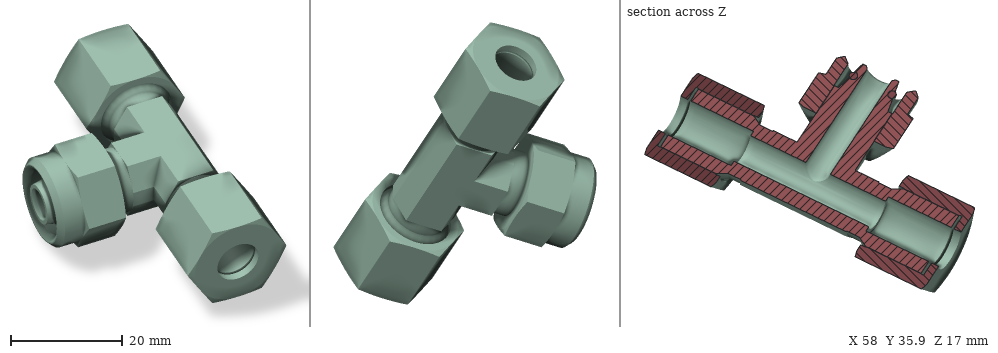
import cadquery as cq
import math


run_reach = 29.0
branch_reach = 26.1

nut_flats = 17.0
nut_face_radius = nut_flats / 2
nut_corner_radius = nut_face_radius / math.cos(math.pi / 6)
hex_chamfer_angle = 15.0
hex_chamfer = (nut_corner_radius - nut_face_radius) * math.tan(math.radians(hex_chamfer_angle))

bar_half_width = 6.05
bar_corner_radius = bar_half_width / math.cos(math.pi / 6)
run_bar_reach = 10.95
branch_bar_reach = 10.1

neck_radius = 5.85
neck_end = 13.5
flare_angle = 30.0
nut_length = 14.5
nut_back = run_reach - nut_length
stem_radius = 7.0
flare_end = neck_end + (stem_radius - neck_radius) / math.tan(math.radians(flare_angle))
lip_length = 1.5
stem_gap = 0.5
cavity_end = run_reach - lip_length
stem_end = cavity_end - stem_gap
tube_radius = 4.05
tube_stop = 14.0
run_bore_radius = 3.0

branch_neck_radius = bar_half_width
shoulder_reach = 19.65
cone_nose_radius = 3.75
cone_half_angle = 12.0
cone_length = branch_reach - shoulder_reach
cone_base_radius = cone_nose_radius + cone_length * math.tan(math.radians(cone_half_angle))
branch_bore_radius = 2.5
branch_bore_chamfer = 0.5

ring_section_radius = 0.75
ring_outer_radius = 4.8
ring_centre_radius = ring_outer_radius - ring_section_radius
ring_reach = 23.1

swivel_back = 12.95
swivel_hex_end = 20.95
swivel_end = 25.85
swivel_tip_chamfer = 1.05
lead_in_radius = 7.25
lead_in_depth = 1.05

run_outlets = [
    cq.Location(cq.Plane(origin=(0, 0, 0), xDir=(0, 1, 0), normal=(side, 0, 0)))
    for side in (-1, 1)
]
branch_outlet = cq.Location(cq.Plane(origin=(0, 0, 0), xDir=(1, 0, 0), normal=(0, -1, 0)))


def turned(profile):
    """Solid of revolution about Z from (radius, height) points."""
    return cq.Workplane("XZ").polyline(profile).close().revolve(360, (0, 0), (0, 1))


def cylinder(radius, start, end):
    """Cylinder on the Z axis between two heights."""
    return cq.Workplane("XY").workplane(offset=start).circle(radius).extrude(end - start)


def placed(part, outlet):
    """Workplane holding the part moved onto an outlet."""
    return cq.Workplane(part.val().moved(outlet))


def chamfered_hexagon(start, end):
    """Hexagon prism with its corners turned off at both ends."""
    prism = (
        cq.Workplane("XY").workplane(offset=start)
        .polygon(6, 2 * nut_corner_radius).extrude(end - start)
    )
    envelope = turned([
        (0, start),
        (nut_face_radius, start),
        (nut_corner_radius, start + hex_chamfer),
        (nut_corner_radius, end - hex_chamfer),
        (nut_face_radius, end),
        (0, end),
    ])
    return prism.intersect(envelope)


def forged_bar(start, end):
    """Hexagonal bar along Z, its two corners on local X cut flat."""
    length = end - start
    hexagon = (
        cq.Workplane("XY").workplane(offset=start)
        .polygon(6, 2 * bar_corner_radius).extrude(length)
    )
    square = (
        cq.Workplane("XY").workplane(offset=start)
        .rect(2 * bar_half_width, 2 * bar_half_width).extrude(length)
    )
    return hexagon.intersect(square)


def make_run_stem():
    """Neck of a run outlet, flaring into the stem inside the nut."""
    return turned([
        (0, 0),
        (neck_radius, 0),
        (neck_radius, neck_end),
        (stem_radius, flare_end),
        (stem_radius, stem_end),
        (0, stem_end),
    ])


def make_branch_stem():
    """Neck of the branch outlet with its shoulder and sealing cone."""
    return turned([
        (0, 0),
        (branch_neck_radius, 0),
        (branch_neck_radius, shoulder_reach),
        (cone_base_radius, shoulder_reach),
        (cone_nose_radius, branch_reach),
        (0, branch_reach),
    ])


def make_branch_bore():
    """Bore of the branch, countersunk at the nose."""
    return turned([
        (0, 0),
        (branch_bore_radius, 0),
        (branch_bore_radius, branch_reach - branch_bore_chamfer),
        (branch_bore_radius + branch_bore_chamfer, branch_reach),
        (0, branch_reach),
    ])


def make_o_ring():
    """O-ring; the same shape cuts its groove in the cone."""
    return (
        cq.Workplane("XZ").center(ring_centre_radius, ring_reach)
        .circle(ring_section_radius)
        .revolve(360, (-ring_centre_radius, 0), (-ring_centre_radius, 1))
    )


def make_tee():
    """Forged tee with its stems, bores and O-ring groove."""
    tee = placed(forged_bar(-run_bar_reach, run_bar_reach), run_outlets[0])
    tee = tee.union(placed(forged_bar(0, branch_bar_reach), branch_outlet))
    for outlet in run_outlets:
        tee = tee.union(placed(make_run_stem(), outlet))
    tee = tee.union(placed(make_branch_stem(), branch_outlet))

    for outlet in run_outlets:
        tee = tee.cut(placed(cylinder(run_bore_radius, 0, stem_end), outlet))
        tee = tee.cut(placed(cylinder(tube_radius, tube_stop, stem_end), outlet))
    tee = tee.cut(placed(make_branch_bore(), branch_outlet))
    return tee.cut(placed(make_o_ring(), branch_outlet))


def make_union_nut():
    """Run nut: cavity for the stem and a tube hole in its end wall."""
    nut = chamfered_hexagon(nut_back, run_reach)
    nut = nut.cut(cylinder(stem_radius, nut_back, cavity_end))
    return nut.cut(cylinder(tube_radius, cavity_end, run_reach))


def make_swivel_nut():
    """Branch nut: hexagon, round skirt with a chamfered tip, and a bore with a lead-in."""
    tip_radius = nut_face_radius - swivel_tip_chamfer
    skirt = turned([
        (0, swivel_hex_end),
        (nut_face_radius, swivel_hex_end),
        (nut_face_radius, swivel_end - swivel_tip_chamfer),
        (tip_radius, swivel_end),
        (0, swivel_end),
    ])
    bore = turned([
        (0, swivel_back),
        (branch_neck_radius, swivel_back),
        (branch_neck_radius, swivel_end - lead_in_depth),
        (lead_in_radius, swivel_end),
        (0, swivel_end),
    ])
    return chamfered_hexagon(swivel_back, swivel_hex_end).union(skirt).cut(bore)


tee = make_tee()
union_nuts = [placed(make_union_nut(), outlet) for outlet in run_outlets]
swivel_nut = placed(make_swivel_nut(), branch_outlet)
o_ring = placed(make_o_ring(), branch_outlet)

result = cq.Compound.makeCompound([
    tee.val(),
    *[nut.val() for nut in union_nuts],
    swivel_nut.val(),
    o_ring.val(),
])